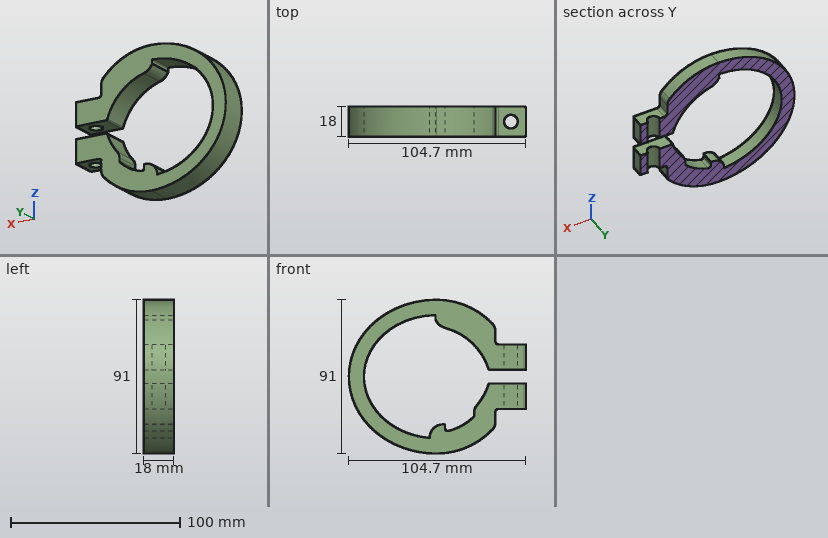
import cadquery as cq
import math

width = 18.0

outer_radius = 45.5
outer_reach = 51.8
bore_radius = 36.25
bore_reach = 42.75

lug_end_x = 52.93
lug_outer_z = 19.1
gap_half = 4.0
shoulder_x = 34.85
shoulder_fillet = 6.0
lug_root_fillet = 1.8
lug_end_fillet = 1.2
gap_fillet = 1.0
screw_diameter = 7.95
screw_x = 43.95

jaw_radius = 36.5
jaw_center_x = -4.06
jaw_center_z = -6.65

relief_radius = 33.0
relief_center_x = -1.0
step_x = 22.2
step_outer_fillet = 1.7
step_inner_fillet = 6.0

hook_radius = 8.0
hook_center_x = 3.9
hook_face_x = 5.15
hook_root_fillet = 1.5

nose_radius = 9.2
nose_center_x = 7.7
nose_face_x = -0.6
nose_root_fillet = 0.6


def circle_z(x, center_x, center_z, radius, side):
    """Z of a circle at x, on its upper (side = 1) or lower (side = -1) half."""
    return center_z + side * math.sqrt(radius ** 2 - (x - center_x) ** 2)


def circle_mid(start, end, center_x, center_z, radius):
    """Point halfway along the short arc between two points of a circle."""
    to_mid_x = (start[0] + end[0]) / 2 - center_x
    to_mid_z = (start[1] + end[1]) / 2 - center_z
    stretch = radius / math.hypot(to_mid_x, to_mid_z)
    return (center_x + to_mid_x * stretch, center_z + to_mid_z * stretch)


def bore_angle(x):
    """Parametric angle, in degrees, of the upper bore ellipse point at x."""
    return math.degrees(math.acos(x / bore_reach))


def mirrored(point):
    return (point[0], -point[1])


shoulder = (shoulder_x, circle_z(shoulder_x, 0, 0, outer_radius, 1))
lug_root = (shoulder_x, lug_outer_z)

gap_mouth_x = jaw_center_x + math.sqrt(jaw_radius ** 2 - (gap_half - jaw_center_z) ** 2)
gap_mouth = (gap_mouth_x, gap_half)

nose_center_z = circle_z(nose_center_x, jaw_center_x, jaw_center_z, jaw_radius + nose_radius, 1)
nose_share = jaw_radius / (jaw_radius + nose_radius)
nose_start = (
    jaw_center_x + nose_share * (nose_center_x - jaw_center_x),
    jaw_center_z + nose_share * (nose_center_z - jaw_center_z),
)
nose_tip = (nose_face_x, circle_z(nose_face_x, nose_center_x, nose_center_z, nose_radius, -1))
nose_root = (nose_face_x, bore_radius * math.sin(math.radians(bore_angle(nose_face_x))))

hook_start_x = hook_center_x - hook_radius
hook_center_z = -bore_radius * math.sin(math.radians(bore_angle(hook_start_x)))
hook_tip = (hook_face_x, circle_z(hook_face_x, hook_center_x, hook_center_z, hook_radius, 1))
hook_mid = (
    hook_center_x - hook_radius * math.sqrt(0.5),
    hook_center_z + hook_radius * math.sqrt(0.5),
)
hook_root = (hook_face_x, circle_z(hook_face_x, relief_center_x, 0, relief_radius, -1))

step_outer = (step_x, circle_z(step_x, relief_center_x, 0, relief_radius, -1))
step_inner = (step_x, circle_z(step_x, jaw_center_x, -jaw_center_z, jaw_radius, -1))


def make_blank():
    """Outside shape of the ring and lugs, with no opening."""
    outline = (
        cq.Workplane("XZ", origin=(0, width / 2, 0))
        .moveTo(0, outer_radius)
        .ellipseArc(outer_reach, outer_radius, 90, 270, sense=1)
        .threePointArc(
            circle_mid((0, -outer_radius), mirrored(shoulder), 0, 0, outer_radius),
            mirrored(shoulder),
        )
        .lineTo(*mirrored(lug_root))
        .lineTo(lug_end_x, -lug_outer_z)
        .lineTo(lug_end_x, lug_outer_z)
        .lineTo(*lug_root)
        .lineTo(*shoulder)
        .threePointArc(circle_mid(shoulder, (0, outer_radius), 0, 0, outer_radius), (0, outer_radius))
        .close()
    )
    return outline.extrude(width)


def make_opening():
    """Bore with its hook, step and nose, running out through the gap between the lugs."""
    lower_mouth = mirrored(gap_mouth)
    outline = (
        cq.Workplane("XZ", origin=(0, width / 2, 0))
        .moveTo(*nose_root)
        .ellipseArc(
            bore_reach, bore_radius, bore_angle(nose_face_x), 360 - bore_angle(hook_start_x), sense=1
        )
        .threePointArc(hook_mid, hook_tip)
        .lineTo(*hook_root)
        .threePointArc(
            circle_mid(hook_root, step_outer, relief_center_x, 0, relief_radius), step_outer
        )
        .lineTo(*step_inner)
        .threePointArc(
            circle_mid(step_inner, lower_mouth, jaw_center_x, -jaw_center_z, jaw_radius), lower_mouth
        )
        .lineTo(lug_end_x, -gap_half)
        .lineTo(lug_end_x, gap_half)
        .lineTo(*gap_mouth)
        .threePointArc(
            circle_mid(gap_mouth, nose_start, jaw_center_x, jaw_center_z, jaw_radius), nose_start
        )
        .threePointArc(
            circle_mid(nose_start, nose_tip, nose_center_x, nose_center_z, nose_radius), nose_tip
        )
        .close()
    )
    return outline.extrude(width)


def round_corner(body, corner, radius):
    """Fillet the edge that runs across the band at a profile corner."""
    edge = cq.selectors.NearestToPointSelector((corner[0], 0, corner[1]))
    return body.edges("|Y").edges(edge).fillet(radius)


def round_profile(body):
    for corner, radius in (
        (shoulder, shoulder_fillet),
        (lug_root, lug_root_fillet),
        (gap_mouth, gap_fillet),
    ):
        body = round_corner(body, corner, radius)
        body = round_corner(body, mirrored(corner), radius)
    for corner, radius in (
        (nose_root, nose_root_fillet),
        (hook_root, hook_root_fillet),
        (step_outer, step_outer_fillet),
        (step_inner, step_inner_fillet),
    ):
        body = round_corner(body, corner, radius)
    return body


def round_lug_ends(body):
    return body.faces(">X").edges("|Z").fillet(lug_end_fillet)


def drill_screw_hole(body):
    screw = (
        cq.Workplane("XY")
        .center(screw_x, 0)
        .circle(screw_diameter / 2)
        .extrude(lug_outer_z, both=True)
    )
    return body.cut(screw)


ring = make_blank().cut(make_opening())
ring = round_profile(ring)
ring = round_lug_ends(ring)
result = drill_screw_hole(ring)